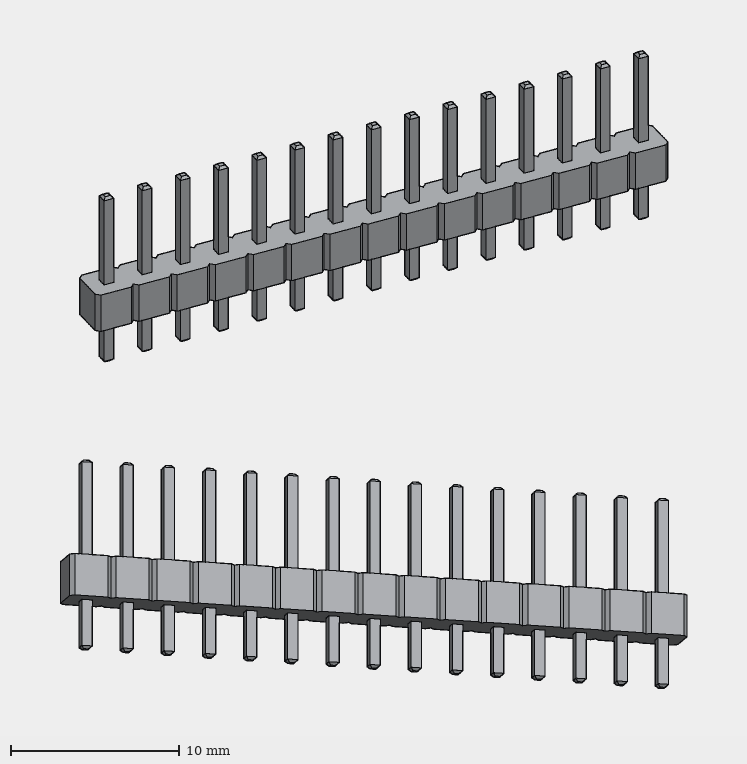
import cadquery as cq


strip_length = 38.1
pin_count = 15
corner_cut = 0.255
pin_width = 0.65
pin_height = 11.55
pin_tail = 2.97
tip_chamfer = 0.16

pitch = strip_length / pin_count
segment_height = pitch
first_pin_y = -(strip_length - pitch) / 2
pin_positions = [(0, first_pin_y + i * pitch) for i in range(pin_count)]


def make_segment(center):
    """Square insulator block standing on Z = 0 with its four vertical edges cut off."""
    return (
        cq.Workplane("XY", origin=(*center, 0))
        .rect(pitch, pitch)
        .extrude(segment_height)
        .edges("|Z")
        .chamfer(corner_cut)
    )


def make_pin(center):
    """Square pin through the insulator, with its end edges chamfered at 45 degrees."""
    return (
        cq.Workplane("XY", origin=(*center, -pin_tail))
        .rect(pin_width, pin_width)
        .extrude(pin_height)
        .faces("<Z or >Z")
        .chamfer(tip_chamfer)
    )


result = make_segment(pin_positions[0])
for position in pin_positions[1:]:
    result = result.union(make_segment(position))
result = result.clean()

for position in pin_positions:
    result = result.union(make_pin(position))